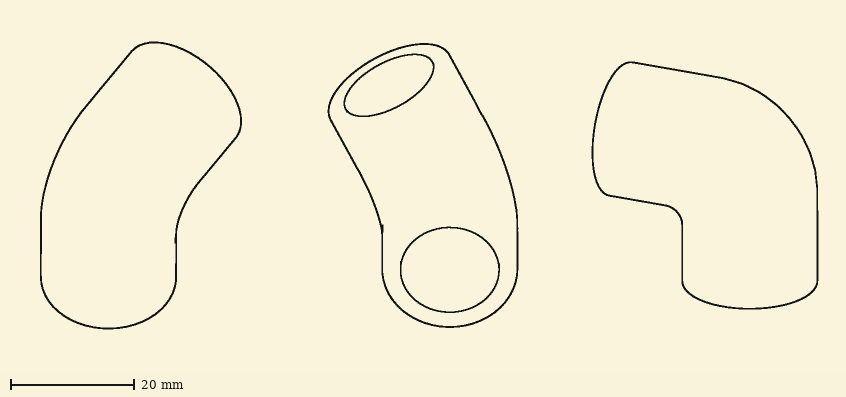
import cadquery as cq
import math

overall_length = 34.2
pipe_diameter = 22.0
bore_diameter = 16.0
inner_bend_radius = 2.0
outer_bend_radius = 18.0
end_rounding = 0.4
bend_sections = 25

half_length = overall_length / 2
pipe_radius = pipe_diameter / 2
leg_length = overall_length - pipe_diameter - inner_bend_radius
bend_size = overall_length - leg_length
axis_distance = inner_bend_radius + pipe_radius
bend_y = half_length - leg_length
bend_z = -half_length + leg_length


def leg_workplanes():
    """Planes at the two ends of the bend, each facing out along its leg."""
    horizontal = cq.Plane((0, bend_y, bend_z + axis_distance), (1, 0, 0), (0, 1, 0))
    vertical = cq.Plane((0, bend_y - axis_distance, bend_z), (1, 0, 0), (0, 0, -1))
    return [horizontal, vertical]


def outer_reach(angle):
    """Distance from the bend centre to the outer outline: two flats and an arc between."""
    from_diagonal = abs(angle - math.pi / 4)
    from_end = math.pi / 4 - from_diagonal
    flat_length = bend_size - outer_bend_radius
    if from_end < math.atan2(flat_length, bend_size):
        return bend_size / math.cos(from_end)
    arc_centre = math.sqrt(2) * flat_length
    across = arc_centre * math.sin(from_diagonal)
    return arc_centre * math.cos(from_diagonal) + math.sqrt(outer_bend_radius**2 - across**2)


def bend_wire(angle):
    """Elliptic section of constant width; angle 0 is upright, 90 degrees is level."""
    reach = outer_reach(angle)
    middle = (reach + inner_bend_radius) / 2
    half_height = (reach - inner_bend_radius) / 2
    out_y = -math.sin(angle)
    out_z = math.cos(angle)
    centre = cq.Vector(0, bend_y + middle * out_y, bend_z + middle * out_z)
    along_bend = cq.Vector(0, -out_z, out_y)
    outward = cq.Vector(0, out_y, out_z)
    ellipse = cq.Edge.makeEllipse(half_height, pipe_radius, centre, along_bend, outward)
    return cq.Wire.assembleEdges([ellipse])


def make_bend():
    step = math.pi / 2 / (bend_sections - 1)
    return cq.Workplane(cq.Solid.makeLoft([bend_wire(i * step) for i in range(bend_sections)]))


def make_leg(plane):
    leg = cq.Workplane(plane).circle(pipe_radius).extrude(leg_length)
    return leg.faces(cq.selectors.DirectionMinMaxSelector(plane.zDir)).fillet(end_rounding)


def make_bore():
    """Round passage through both legs and around the bend."""
    horizontal, vertical = leg_workplanes()
    bore = (
        cq.Workplane(horizontal)
        .circle(bore_diameter / 2)
        .revolve(90, (-0.35, axis_distance, 0), (0.35, axis_distance, 0))
    )
    for plane in (horizontal, vertical):
        bore = bore.union(cq.Workplane(plane).circle(bore_diameter / 2).extrude(leg_length))
    return bore


body = make_bend()
for leg_plane in leg_workplanes():
    body = body.union(make_leg(leg_plane))

result = body.cut(make_bore())